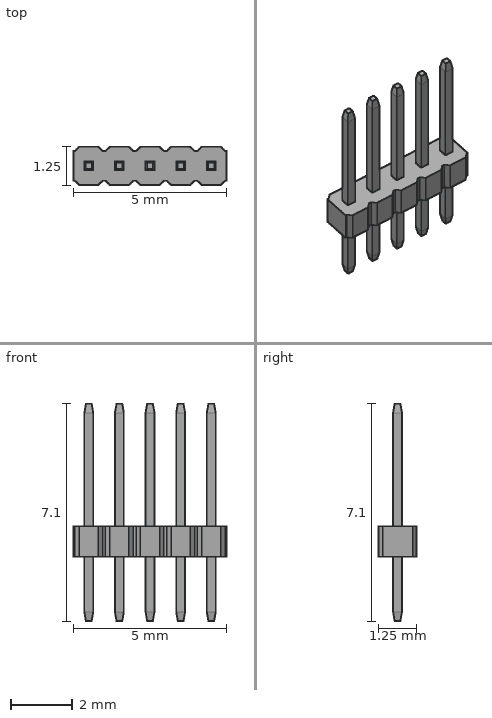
import cadquery as cq

pin_count = 5
total_height = 7.1
body_length = 5.0
pitch = body_length / pin_count

body_width = 1.25
body_height = pitch
land_length = body_width / 2
corner_run = 0.14
corner_depth = 0.135

pin_width = 0.3
tip_width = 0.19
tip_length = 0.3
pin_below_body = 2.1
pin_bottom = -pin_below_body
pin_top = pin_bottom + total_height

pin_positions = [(i - (pin_count - 1) / 2) * pitch for i in range(pin_count)]


def body_segment(center_x):
    """One pitch of the body: a block with a chamfered bulge on both long sides."""
    half_pitch = pitch / 2
    half_land = land_length / 2
    half_bulge = half_land + corner_run
    half_width = body_width / 2
    half_waist = half_width - corner_depth
    side = [
        (-half_pitch, half_waist),
        (-half_bulge, half_waist),
        (-half_land, half_width),
        (half_land, half_width),
        (half_bulge, half_waist),
        (half_pitch, half_waist),
    ]
    opposite_side = [(-x, -y) for x, y in side]
    outline = cq.Workplane("XY").polyline(side + opposite_side).close()
    return outline.extrude(body_height).translate((center_x, 0, 0))


def pin_tip(base_z, end_z):
    """Square taper from the full pin section to the blunt end."""
    return (
        cq.Workplane("XY", origin=(0, 0, base_z))
        .rect(pin_width, pin_width)
        .workplane(offset=end_z - base_z)
        .rect(tip_width, tip_width)
        .loft(ruled=True)
    )


def pin(center_x):
    """Square pin running through the body, tapered at both ends."""
    shaft_bottom = pin_bottom + tip_length
    shaft_top = pin_top - tip_length
    shaft = (
        cq.Workplane("XY", origin=(0, 0, shaft_bottom))
        .rect(pin_width, pin_width)
        .extrude(shaft_top - shaft_bottom)
    )
    whole_pin = shaft.union(pin_tip(shaft_top, pin_top)).union(pin_tip(shaft_bottom, pin_bottom))
    return whole_pin.translate((center_x, 0, 0))


body = body_segment(pin_positions[0])
for x in pin_positions[1:]:
    body = body.union(body_segment(x))
body = body.clean()

result = body
for x in pin_positions:
    result = result.union(pin(x))